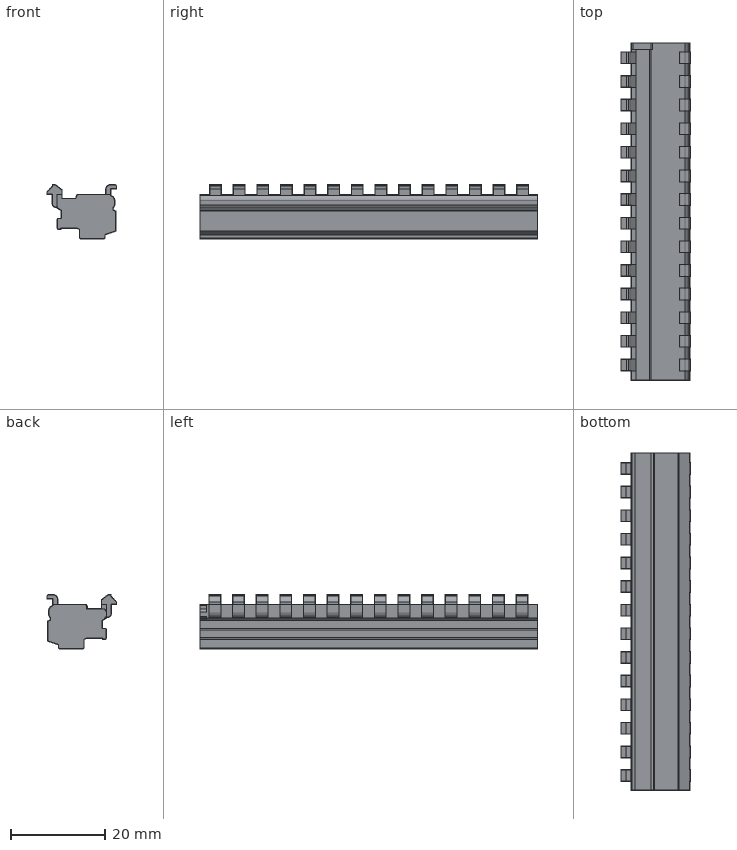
import cadquery as cq
import math

width = 14.7
length = 71.5
height = 11.5

body_left = 2.15
body_right = 14.6
body_top = 9.45
rib_right = 3.2
channel_floor = 8.6
channel_right = 6.1
channel_wall_lean = 0.3
side_groove_depth = 0.85
side_groove_top = 6.5
side_groove_roof_drop = 0.5
ledge_top = 4.35
ledge_lip_bottom = 2.0
ledge_lip_right = 2.9
ledge_bevel_width = 0.15
ledge_bevel_height = 0.35
underside = 2.2
foot_left = 6.85
foot_right = 12.3
foot_relief = 0.5
foot_relief_drop = 0.2
foot_chamfer = 0.2
skirt_start = 0.85
skirt_end = 1.65
right_wall_top = 5.85
right_notch = 14.0
right_notch_bottom = 6.15
right_notch_top = 6.5
bead_right = 14.4
bead_low = 7.15
bead_high = 8.15
bead_corner = (14.1, 8.8)
shoulder_x = 13.5
shoulder_z = 9.15

step_length = 1.35
step_floor = 8.45
step_right = 6.35
step_chamfer = 0.3
step_bevel_width = 0.35
step_bevel_height = 0.65
step_lower_bevel = 0.35

clip_count = 14
clip_pitch = 5.0
clip_width = 2.5
first_clip = 3.3

latch_barb_top = 9.95
latch_stem = 1.1
latch_crown_left = 1.15
latch_crown_right = 1.65
latch_crown_riser = 0.35
latch_back_top = (1.9, 11.4)
latch_back_height = 10.4
latch_foot = 6.65
latch_foot_radius = 0.9

hook_left = 12.45
hook_thickness = 0.9
hook_tip_radius = 0.3


def bar(section, start, span):
    """Extrude an XZ section along +Y from start."""
    return section.extrude(-span).translate((0, start, 0))


def section_at(x, z):
    return cq.Workplane("XZ").moveTo(x, z)


def make_body():
    groove_x = body_left + side_groove_depth
    section = (
        section_at(body_left, body_top)
        .lineTo(rib_right, body_top)
        .lineTo(rib_right, channel_floor)
        .lineTo(channel_right, channel_floor)
        .lineTo(channel_right + channel_wall_lean, body_top)
        .lineTo(shoulder_x, body_top)
        .lineTo(shoulder_x, shoulder_z)
        .threePointArc(bead_corner, (bead_right, bead_high))
        .lineTo(bead_right, bead_low)
        .lineTo(right_notch, right_notch_top)
        .lineTo(right_notch, right_notch_bottom)
        .lineTo(body_right, right_wall_top)
        .lineTo(body_right, skirt_end)
        .lineTo(foot_right, skirt_start)
        .lineTo(foot_right, foot_chamfer)
        .lineTo(foot_right - foot_chamfer, 0)
        .lineTo(foot_left + foot_chamfer, 0)
        .lineTo(foot_left, foot_chamfer)
        .lineTo(foot_left, underside - foot_relief_drop)
        .lineTo(foot_left - foot_relief, underside)
        .lineTo(ledge_lip_right, underside)
        .lineTo(ledge_lip_right, ledge_lip_bottom)
        .lineTo(body_left + ledge_bevel_width, ledge_lip_bottom)
        .lineTo(body_left, ledge_lip_bottom + ledge_bevel_height)
        .lineTo(body_left, ledge_top - ledge_bevel_height)
        .lineTo(body_left + ledge_bevel_width, ledge_top)
        .lineTo(groove_x, ledge_top)
        .lineTo(groove_x, side_groove_top - side_groove_roof_drop)
        .lineTo(body_left, side_groove_top)
        .close()
    )
    return bar(section, 0, length)


def make_rear_step_cut():
    section = (
        section_at(body_left, body_top)
        .lineTo(step_right + step_chamfer, body_top)
        .lineTo(step_right, body_top - step_chamfer)
        .lineTo(step_right, step_floor)
        .lineTo(body_left + step_bevel_width, step_floor)
        .lineTo(body_left, step_floor - step_bevel_height)
        .close()
    )
    return bar(section, length - step_length, step_length)


def make_rear_bevel_cut():
    section = (
        section_at(body_left, side_groove_top + step_lower_bevel)
        .lineTo(body_left + step_lower_bevel, side_groove_top)
        .lineTo(body_left + step_lower_bevel, side_groove_top - side_groove_roof_drop)
        .lineTo(body_left, side_groove_top - side_groove_roof_drop)
        .close()
    )
    return bar(section, length - step_length, step_length)


def make_latch(start):
    arc_end_x = latch_stem + latch_foot_radius
    arc_sag = latch_foot_radius * (1 - math.sqrt(0.5))
    section = (
        section_at(0, body_top)
        .lineTo(0, latch_barb_top)
        .lineTo(latch_crown_left, height - latch_crown_riser)
        .lineTo(latch_crown_left, height)
        .lineTo(latch_crown_right, height)
        .lineTo(*latch_back_top)
        .lineTo(rib_right, latch_back_height)
        .lineTo(rib_right, body_top)
        .lineTo(body_left, body_top)
        .lineTo(body_left, latch_foot)
        .lineTo(arc_end_x, latch_foot)
        .threePointArc(
            (latch_stem + arc_sag, latch_foot + arc_sag),
            (latch_stem, latch_foot + latch_foot_radius),
        )
        .lineTo(latch_stem, body_top)
        .close()
    )
    return bar(section, start, clip_width)


def make_hook(start):
    bend_radius = shoulder_x - hook_left
    bend_sag = bend_radius * (1 - math.sqrt(0.5))
    section = (
        section_at(hook_left, body_top)
        .lineTo(hook_left, height - bend_radius)
        .threePointArc((hook_left + bend_sag, height - bend_sag), (shoulder_x, height))
        .lineTo(width - hook_tip_radius, height)
        .lineTo(width, height - hook_tip_radius)
        .lineTo(width, height - hook_thickness)
        .lineTo(shoulder_x, height - hook_thickness)
        .lineTo(shoulder_x, body_top)
        .close()
    )
    return bar(section, start, clip_width)


result = make_body().cut(make_rear_step_cut()).cut(make_rear_bevel_cut())
for index in range(clip_count):
    clip_start = first_clip + index * clip_pitch - clip_width / 2
    result = result.union(make_latch(clip_start)).union(make_hook(clip_start))